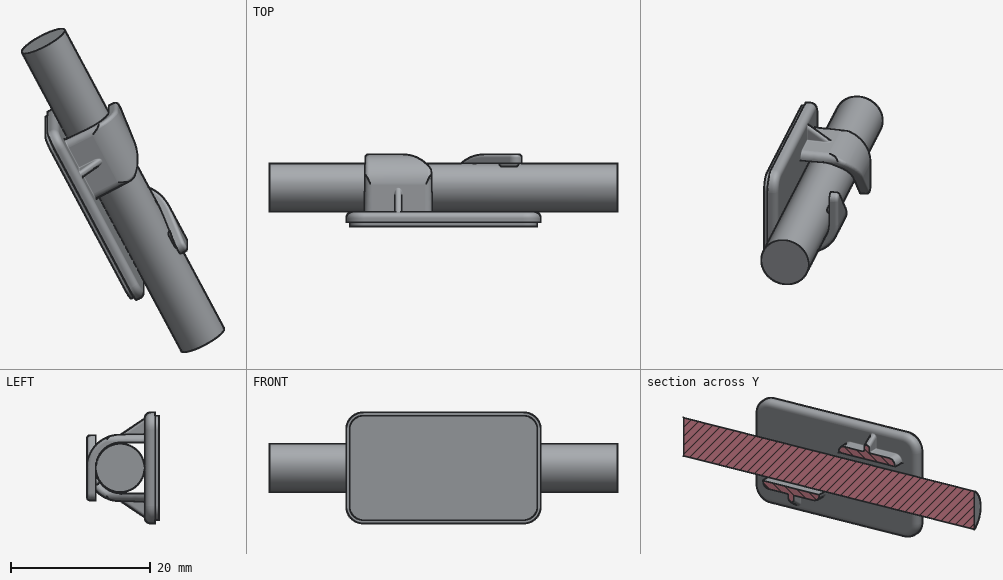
import cadquery as cq
import math

ROD_LENGTH = 50.0
ROD_RADIUS = 3.5

PLATE_LENGTH = 28.0
PLATE_HEIGHT = 16.0
PLATE_THICKNESS = 1.5
PLATE_CORNER_RADIUS = 2.5
PLATE_EDGE_ROUND = 0.9
PLATE_BACK_Y = -ROD_RADIUS
PLATE_FRONT_Y = PLATE_BACK_Y - PLATE_THICKNESS

PANEL_INSET = 0.5
PANEL_THICKNESS = 0.6

HOOK_CENTER_X = -6.5
HOOK_WIDTH = 9.5
HOOK_FLARE = 0.15
FINGER_THICKNESS = 1.3
HOOK_BACK_Y = ROD_RADIUS + FINGER_THICKNESS
HOOK_DEPTH = HOOK_BACK_Y - PLATE_BACK_Y
BEND_OUTER_RADIUS = HOOK_BACK_Y
BEND_INNER_RADIUS = 3.65
BEND_START_Y = ROD_RADIUS - BEND_INNER_RADIUS
HOOK_TOP_Z = 4.7
HOOK_LEFT_X = HOOK_CENTER_X - HOOK_WIDTH / 2
HOOK_RIGHT_X = HOOK_CENTER_X + HOOK_WIDTH / 2
ARM_CORNER_RADIUS = 0.9
FINGER_SLOPE = 45.0
FINGER_SLOPE_START_Z = 3.4
FINGER_SHOULDER_RADIUS = 1.0
FINGER_TIP_RADIUS = 1.0
FINGER_EDGE_ROUND = 0.5

BUMP_RADIUS = 0.5
BUMP_LENGTH = 2.8
BUMP_END_ROUND = 0.45
BUMP_CENTER_X = -9.4
BUMP_CENTER_Z = -1.95

GUSSET_WIDTH = 1.0
GUSSET_TOP_ROUND = 0.45
GUSSET_FOOT_ROUND = 0.15
GUSSET_START_Y = 0.75
GUSSET_START_Z = 4.25
GUSSET_PLATE_Z = 7.1
EDGE_MARGIN = 0.05


def make_rod():
    return cq.Workplane("YZ", origin=(-ROD_LENGTH / 2, 0, 0)).circle(ROD_RADIUS).extrude(ROD_LENGTH)


def make_panel():
    return (
        cq.Workplane("XZ", origin=(0, PLATE_FRONT_Y, 0))
        .rect(PLATE_LENGTH - 2 * PANEL_INSET, PLATE_HEIGHT - 2 * PANEL_INSET)
        .extrude(PANEL_THICKNESS)
        .edges("|Y")
        .fillet(PLATE_CORNER_RADIUS - PANEL_INSET)
    )


def make_plate():
    return (
        cq.Workplane("XZ", origin=(0, PLATE_BACK_Y, 0))
        .rect(PLATE_LENGTH, PLATE_HEIGHT)
        .extrude(PLATE_THICKNESS)
        .edges("|Y")
        .fillet(PLATE_CORNER_RADIUS)
        .faces(">Y")
        .edges()
        .fillet(PLATE_EDGE_ROUND)
    )


def flared_block(section):
    """Extrude an XZ section from the back of the finger to the plate, growing by the flare."""
    flare_angle = math.degrees(math.atan(HOOK_FLARE / HOOK_DEPTH))
    return (
        cq.Workplane("XZ", origin=(0, HOOK_BACK_Y, 0))
        .placeSketch(section)
        .extrude(HOOK_DEPTH, taper=-flare_angle)
    )


def finger_outline():
    """Hook outline along Y: open at the top, sloping down to a rounded finger tip."""
    tip_z = FINGER_SLOPE_START_Z - HOOK_WIDTH * math.tan(math.radians(FINGER_SLOPE))
    return (
        cq.Sketch()
        .polygon(
            [
                (HOOK_LEFT_X, PLATE_HEIGHT / 2),
                (HOOK_RIGHT_X, PLATE_HEIGHT / 2),
                (HOOK_RIGHT_X, FINGER_SLOPE_START_Z),
                (HOOK_LEFT_X, tip_z),
                (HOOK_LEFT_X, PLATE_HEIGHT / 2),
            ]
        )
        .vertices("<Y")
        .fillet(FINGER_TIP_RADIUS)
        .reset()
        .vertices(">X")
        .vertices("<Y")
        .fillet(FINGER_SHOULDER_RADIUS)
    )


def arm_outline():
    """Hook outline along Y with the corners of the arm rounded and nothing cut off below."""
    height = HOOK_TOP_Z + PLATE_HEIGHT / 2
    return (
        cq.Sketch()
        .push([(HOOK_CENTER_X, HOOK_TOP_Z - height / 2)])
        .rect(HOOK_WIDTH, height)
        .reset()
        .vertices(">Y")
        .fillet(ARM_CORNER_RADIUS)
    )


def make_finger():
    """Bend and finger behind the rod, rounded along the outer edges."""
    diagonal = math.sqrt(0.5)
    outer_mid = BEND_OUTER_RADIUS * diagonal
    inner_mid = BEND_INNER_RADIUS * diagonal
    side_profile = (
        cq.Workplane("YZ", origin=(-ROD_LENGTH / 2, 0, 0))
        .moveTo(BEND_START_Y, BEND_OUTER_RADIUS)
        .lineTo(0, BEND_OUTER_RADIUS)
        .threePointArc((outer_mid, outer_mid), (HOOK_BACK_Y, 0))
        .lineTo(HOOK_BACK_Y, -PLATE_HEIGHT / 2)
        .lineTo(ROD_RADIUS, -PLATE_HEIGHT / 2)
        .lineTo(ROD_RADIUS, 0)
        .threePointArc((BEND_START_Y + inner_mid, inner_mid), (BEND_START_Y, BEND_INNER_RADIUS))
        .close()
        .extrude(ROD_LENGTH)
    )
    finger = flared_block(finger_outline()).intersect(side_profile)
    bend = finger.faces(cq.selectors.NearestToPointSelector((HOOK_CENTER_X, outer_mid, outer_mid)))
    finger = finger.newObject(bend.edges("not |X").vals()).fillet(FINGER_EDGE_ROUND)
    return finger.intersect(flared_block(arm_outline()))


def make_arm():
    """Straight arm from the start of the bend to the plate."""
    arm_space = (
        cq.Workplane("XY", origin=(0, 0, BEND_INNER_RADIUS))
        .center(HOOK_CENTER_X, (BEND_START_Y + PLATE_BACK_Y) / 2)
        .rect(2 * HOOK_WIDTH, BEND_START_Y - PLATE_BACK_Y)
        .extrude(BEND_OUTER_RADIUS)
    )
    return flared_block(arm_outline()).intersect(arm_space)


def make_bump():
    """Capsule half sunk into the inner face of the finger."""
    return (
        cq.Workplane("YZ", origin=(BUMP_CENTER_X - BUMP_LENGTH / 2, ROD_RADIUS, BUMP_CENTER_Z))
        .circle(BUMP_RADIUS)
        .extrude(BUMP_LENGTH)
        .edges()
        .fillet(BUMP_END_ROUND)
    )


def make_gusset():
    """Triangular rib with a rounded sloping top."""
    return (
        cq.Workplane("YZ", origin=(HOOK_CENTER_X - GUSSET_WIDTH / 2, 0, 0))
        .polyline(
            [
                (GUSSET_START_Y, GUSSET_START_Z),
                (PLATE_BACK_Y, GUSSET_PLATE_Z),
                (PLATE_BACK_Y, GUSSET_START_Z),
            ]
        )
        .close()
        .extrude(GUSSET_WIDTH)
        .faces("not(|X or |Y or |Z)")
        .edges("not |X")
        .fillet(GUSSET_TOP_ROUND)
    )


def round_gusset_foot(body, y_min, y_max, z_min, z_max):
    """Fillet the edges around the foot of the gusset whose centres lie in the given range."""
    near_gusset = cq.selectors.BoxSelector(
        (HOOK_CENTER_X - GUSSET_WIDTH, y_min, z_min),
        (HOOK_CENTER_X + GUSSET_WIDTH, y_max, z_max),
    )
    foot_edges = body.edges(near_gusset).vals()
    return body.newObject(foot_edges).fillet(GUSSET_FOOT_ROUND)


def make_hook():
    """Strap around the rod with its gusset and grip bump."""
    hook = make_finger().union(make_arm()).union(make_gusset())
    arm_top_z = BEND_OUTER_RADIUS + HOOK_FLARE
    hook = round_gusset_foot(
        hook, PLATE_BACK_Y + EDGE_MARGIN, GUSSET_START_Y, BEND_INNER_RADIUS, arm_top_z
    )
    return hook.union(make_bump())


def make_clip():
    """Plate with two hooks, one over and one under the rod, half a turn apart about Y."""
    half_clip = make_plate().union(make_hook())
    half_clip = round_gusset_foot(
        half_clip,
        PLATE_BACK_Y - EDGE_MARGIN,
        PLATE_BACK_Y + EDGE_MARGIN,
        BEND_OUTER_RADIUS + EDGE_MARGIN,
        PLATE_HEIGHT / 2,
    )
    return half_clip.union(half_clip.rotate((0, 0, 0), (0, 1, 0), 180))


rod = make_rod()
clip = make_clip()
panel = make_panel()

bodies = [*rod.solids().vals(), *clip.solids().vals(), *panel.solids().vals()]
result = cq.Compound.makeCompound(bodies)